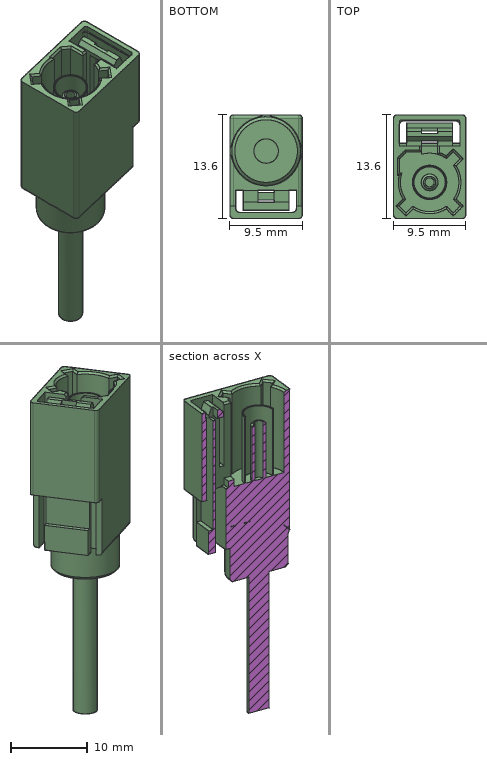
import cadquery as cq


housing_width = 9.5
housing_depth = 13.6
housing_height = 21.0
edge_radius = 0.5
housing_front = -housing_width / 2
housing_back = housing_front + housing_depth

collar_diameter = 9.0
collar_length = 5.0
collar_chamfer = 0.4
seat_drop = 0.1
seat_shoulder_height = 0.34
seat_rim_height = 0.36
seat_rim_radius = 4.97
cable_diameter = 3.2
cable_length = 20.0

wall = 0.8
window_half_width = housing_width / 2 - wall
window_front = 4.75
window_front_low = 5.15
window_back = 8.2
window_back_low = 8.02
window_lip_depth = 0.9
window_corner_radius = 0.3
window_corner_radius_low = 0.5
ledge_depth = 12.0
back_cut_height = 8.0
back_cut_face = 7.22

slot_half_width = 1.04
latch_half_width = 3.0
lever_inner = 6.65
lever_outer = 7.1
lever_top = housing_height - 1.2
crest_back = 6.69
crest_front = 5.98
crest_drop = 0.1
ramp_foot = 5.42
ramp_height = 0.6
nose_height = 1.4
head_height = 12.0
latch_gap_back = 6.7
latch_notch_front = 6.42
latch_notch_depth = 1.5
tab_outer = 7.78
tab_height = 3.5
web_height = 3.0
web_embed = 0.2

bore_depth = 12.0
bore_radius = 3.83
lead_in = 0.27
keyway_width = 1.3
keyway_reach = 5.02
keyway_angles = (45, -45, -135)
side_key_left = -3.93
side_key_bottom = 1.2
side_key_top = 3.95
side_key_corner = 0.85
slot_depth = 11.0

shield_radius = 2.25
shield_wall = 0.2
shield_edge = 0.05
shield_drop = 2.2
contact_radius = 1.1
contact_hole_radius = 0.6
contact_edge = 0.3
contact_drop = 3.7


def box(x_min, x_max, y_min, y_max, z_min, z_max):
    """Axis-aligned block between the given limits."""
    return cq.Workplane("XY").box(
        x_max - x_min, y_max - y_min, z_max - z_min, centered=False
    ).translate((x_min, y_min, z_min))


def cylinder(radius, z_min, z_max):
    """Cylinder on the cable axis."""
    return cq.Workplane("XY").workplane(offset=z_min).circle(radius).extrude(z_max - z_min)


def make_housing():
    """Solid block with rounded vertical and bottom edges."""
    centre_y = (housing_front + housing_back) / 2
    housing = cq.Workplane("XY").center(0, centre_y).rect(housing_width, housing_depth)
    housing = housing.extrude(housing_height).edges("|Z").fillet(edge_radius)
    return housing.faces("<Z").edges().fillet(edge_radius)


def make_collar_and_cable():
    """Chamfered collar, sunk slightly into the housing, with the cable stub below it."""
    collar = cylinder(collar_diameter / 2, -collar_length, edge_radius)
    collar = collar.faces("<Z").chamfer(collar_chamfer)
    return collar.union(cylinder(cable_diameter / 2, -collar_length - cable_length, 0))


def make_collar_seat():
    """Round seat that flares from the collar out to the flat housing sides, across their bottom edges."""
    half = housing_width / 2
    profile = [
        (0, -seat_drop),
        (collar_diameter / 2, -seat_drop),
        (half, seat_shoulder_height),
        (seat_rim_radius, seat_rim_height),
        (seat_rim_radius, edge_radius),
        (0, edge_radius),
    ]
    seat = cq.Workplane("XZ").polyline(profile).close().revolve(360, (0, 0), (0, 1))
    return seat.intersect(box(-half, half, -half, half, -seat_drop, edge_radius))


def make_window():
    """Opening through the housing, larger near its mouth, with the lower back wall removed."""
    def shaft(y_min, y_max, z_min, corner_radius):
        block = box(-window_half_width, window_half_width, y_min, y_max, z_min, housing_height)
        return block.edges("|Z and >Y").fillet(corner_radius)

    window = shaft(window_front_low, window_back_low, 0, window_corner_radius_low)
    ledge = housing_height - ledge_depth
    lip = housing_height - window_lip_depth
    window = window.union(shaft(window_front, window_back_low, ledge, window_corner_radius_low))
    window = window.union(shaft(window_front, window_back, lip, window_corner_radius))
    half = housing_width / 2
    return window.union(box(-half, half, back_cut_face, housing_back, 0, back_cut_height))


def make_latch():
    """Lever with a ramped crest on top, a press tab below and two webs tying it to the bore wall."""
    crest_top = housing_height - crest_drop
    ramp_base = crest_top - ramp_height
    profile = [
        (lever_outer, 0),
        (lever_outer, lever_top),
        (crest_back, crest_top),
        (crest_front, crest_top),
        (ramp_foot, ramp_base),
        (ramp_foot, housing_height - head_height),
        (lever_inner, housing_height - head_height),
        (lever_inner, 0),
    ]
    latch = cq.Workplane("YZ").polyline(profile).close().extrude(latch_half_width, both=True)
    latch = latch.union(box(-latch_half_width, latch_half_width, lever_inner, tab_outer, 0, tab_height))

    gap_half = slot_half_width
    nose_bottom = housing_height - nose_height
    notch_floor = housing_height - latch_notch_depth
    latch = latch.cut(box(-gap_half, gap_half, ramp_foot, latch_gap_back, 0, nose_bottom))
    latch = latch.cut(box(-gap_half, gap_half, latch_notch_front, lever_outer, notch_floor, housing_height))

    web_bottom = housing_height - ledge_depth - web_embed
    web_front = window_front - web_embed
    web_width = latch_half_width - gap_half
    for web_left in (-latch_half_width, gap_half):
        web = box(web_left, web_left + web_width, web_front, lever_outer,
                  web_bottom, web_bottom + web_height)
        latch = latch.union(web)
    return latch


def with_lead_in(outline, depth):
    """Cutter that sinks a straight-sided outline from the mating face and widens it at the mouth."""
    straight = outline(cq.Workplane("XY").workplane(offset=housing_height - depth)).extrude(depth)
    edge = outline(cq.Workplane("XY").workplane(offset=housing_height - lead_in)).wires().val()
    rim = edge.offset2D(lead_in, "intersection")[0].translate(cq.Vector(0, 0, lead_in))
    mouth = cq.Solid.makeLoft([edge, rim], True)
    return straight.union(cq.Workplane(mouth))


def make_bore():
    """Round bore with three keyways, a larger side key and the slot to the latch window."""
    bore = cylinder(bore_radius, housing_height - bore_depth, housing_height)
    mouth = cq.Workplane("XY").workplane(offset=housing_height - lead_in).circle(bore_radius)
    bore = bore.union(mouth.extrude(lead_in, taper=-45))

    keyway = with_lead_in(
        lambda plane: plane.center(keyway_reach / 2, 0).rect(keyway_reach, keyway_width), bore_depth
    )
    for angle in keyway_angles:
        bore = bore.union(keyway.rotate((0, 0, 0), (0, 0, 1), angle))

    side_key_points = [
        (side_key_left, side_key_bottom),
        (-slot_half_width, side_key_bottom),
        (-slot_half_width, side_key_top),
        (side_key_left + side_key_corner, side_key_top),
        (side_key_left, side_key_top - side_key_corner),
    ]
    bore = bore.union(with_lead_in(lambda plane: plane.polyline(side_key_points).close(), bore_depth))

    slot = with_lead_in(
        lambda plane: plane.center(0, window_front / 2).rect(2 * slot_half_width, window_front + lead_in),
        slot_depth,
    )
    return bore.union(slot)


def make_contact():
    """Thin shield tube around a hollow contact pin, both standing on the bore floor."""
    floor = housing_height - bore_depth
    shield = cylinder(shield_radius, floor, housing_height - shield_drop)
    shield = shield.cut(cylinder(shield_radius - shield_wall, floor, housing_height))
    shield = shield.faces(">Z").chamfer(shield_edge)
    pin = cylinder(contact_radius, floor, housing_height - contact_drop)
    pin = pin.faces(">Z").chamfer(contact_edge)
    pin = pin.cut(cylinder(contact_hole_radius, floor, housing_height))
    return shield.union(pin)


result = (
    make_housing()
    .union(make_collar_and_cable())
    .union(make_collar_seat())
    .cut(make_window())
    .cut(make_bore())
    .union(make_contact())
    .union(make_latch())
)